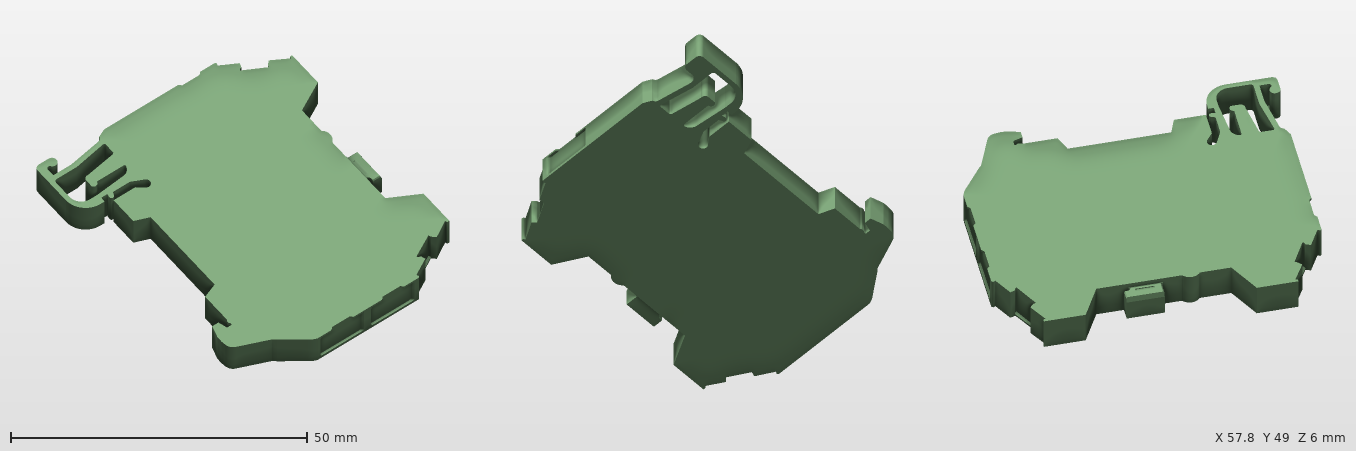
import cadquery as cq

THICKNESS = 6.0
HEIGHT = 49.05
HALF_WIDTH = 28.55
TROUGH_Y = 43.3
SHOULDER_Y = 37.65
RAIL_FACE_Y = 6.4
RAIL_RECESS_Y = 9.25
RAIL_HALF_TOP = 8.95
RAIL_HALF_MOUTH = 10.05
BUMP_LEFT = -6.25
BUMP_RIGHT = -3.2
BUMP_RISE = 0.75

FOOT_ROOT_Y = 12.0
HOOK_X = -29.25
HOOK_TOP_Y = 3.95
HOOK_CORNER = 0.9
HOOK_FLOOR = 0.9
HOOK_POCKET_LOW_Y = 1.5
STEM_OUTER_X = -25.95
STEM_ROOT_X = -27.1
STEM_FILLET = 1.4
STEM_INNER_X = -25.0
STEM_INNER_BEND_Y = 5.8
HEEL_X = -16.3
HEEL_RADIUS = 4.15
HEEL_INNER_X = -18.15
NECK_X = -17.3
NECK_LOW_Y = 5.1
WINDOW_LOW_Y = 0.9
WINDOW_TOP_Y = 12.5
WINDOW_CORNER = 0.6
TONGUE_RIGHT_X = -20.5
TONGUE_TIP_Y = 5.25
SLIT_LEFT_X = -17.05
SLIT_RIGHT_X = -15.6
SLIT_BEND_Y = 11.0
SLIT_SHOULDER = (-15.9, 13.35)

LABEL_DEPTH = 0.45
LABEL_BOTTOM_Z = 0.6
LABEL_TOP_Z = 5.6
LABEL_LOW_Y = 27.6
LABEL_LENGTH = 9.2
LABEL_CORNER = 0.35
NOTCH_OFFSET = 2.3
NOTCH_LENGTH = 4.6
NOTCH_TAPER = 0.45
LABEL_PITCH = 10.7

MARKER_FLOOR = 0.35

LATCH_LEFT = 0.45
LATCH_RIGHT = 7.05
LATCH_TOP_Y = 46.15
LATCH_STEP_Y = 44.25
LATCH_NECK_RIGHT = 5.9
LATCH_STEP_CHAMFER = 0.4
LATCH_BOTTOM_Z = 0.7
LATCH_TOP_Z = THICKNESS - LATCH_BOTTOM_Z
LATCH_SIDE_CHAMFER = 0.2
LATCH_END_CHAMFER = 0.4
LATCH_END_CHAMFER_DROP = 0.85
LATCH_FOOT_Y = 43.7
LATCH_FOOT_MARGIN = 0.25
LATCH_FOOT_DROP = 0.25
LATCH_SLOT_LEFT = 1.8
LATCH_SLOT_LENGTH = 3.4
LATCH_SLOT_LOW_Y = 44.05
LATCH_SLOT_WIDTH = 0.5
LATCH_SLOT_DEPTH = 0.2

SHOULDER = [
    (11.7, TROUGH_Y),
    (14.8, HEIGHT),
    (22.05, HEIGHT),
    (22.05, 48.6),
    (21.6, 48.45),
    (23.55, 45.2),
    (22.85, 44.55),
    (25.1, 40.65),
    (26.0, 40.95),
    (27.9, SHOULDER_Y),
    (28.3, 37.9),
    (HALF_WIDTH, SHOULDER_Y),
]
MARKER = [(22.85, 44.55), (22.4, 44.35), (24.75, 40.0), (25.05, 40.25), (25.15, 40.7)]


def mirrored(points, side):
    """Place (distance, Y) points on the left (-1) or right (+1) half."""
    return [(side * distance, y) for distance, y in points]


def make_plate():
    """Main plate with both towers, the rail recess and the fixed claw."""
    return (
        cq.Workplane("XY")
        .moveTo(BUMP_LEFT, TROUGH_Y)
        .polyline(mirrored(SHOULDER, -1), includeCurrent=True)
        .lineTo(-HALF_WIDTH, 14.15)
        .lineTo(-27.8, 12.6)
        .threePointArc((-27.4, 12.4), (STEM_ROOT_X, FOOT_ROOT_Y))
        .lineTo(SLIT_RIGHT_X, FOOT_ROOT_Y)
        .lineTo(SLIT_RIGHT_X, RAIL_FACE_Y)
        .lineTo(-RAIL_HALF_MOUTH, RAIL_FACE_Y)
        .lineTo(-RAIL_HALF_TOP, RAIL_RECESS_Y)
        .lineTo(RAIL_HALF_TOP, RAIL_RECESS_Y)
        .lineTo(RAIL_HALF_MOUTH, RAIL_FACE_Y)
        .lineTo(16.2, RAIL_FACE_Y)
        .lineTo(16.35, 6.25)
        .lineTo(16.95, 6.25)
        .lineTo(17.1, RAIL_FACE_Y)
        .lineTo(17.5, RAIL_FACE_Y)
        .lineTo(17.5, 5.45)
        .lineTo(15.8, 4.9)
        .lineTo(15.8, 3.6)
        .lineTo(18.2, 2.9)
        .lineTo(19.4, 2.9)
        .lineTo(20.3, 3.0)
        .threePointArc((21.15, 3.4), (21.7, 4.1))
        .lineTo(24.1, 10.0)
        .lineTo(24.65, 10.6)
        .lineTo(27.7, 14.7)
        .threePointArc((28.2, 15.45), (HALF_WIDTH, 16.3))
        .polyline(mirrored(SHOULDER[::-1], 1), includeCurrent=True)
        .lineTo(BUMP_RIGHT, TROUGH_Y)
        .threePointArc(((BUMP_LEFT + BUMP_RIGHT) / 2, TROUGH_Y + BUMP_RISE), (BUMP_LEFT, TROUGH_Y))
        .close()
        .extrude(THICKNESS)
    )


def make_foot():
    """Solid outline of the spring foot with its hook and snap nose."""
    return (
        cq.Workplane("XY")
        .moveTo(STEM_ROOT_X, FOOT_ROOT_Y)
        .lineTo(STEM_OUTER_X, HOOK_TOP_Y + STEM_FILLET)
        .tangentArcPoint((-STEM_FILLET, -STEM_FILLET))
        .lineTo(HOOK_X + HOOK_CORNER, HOOK_TOP_Y)
        .tangentArcPoint((-HOOK_CORNER, -HOOK_CORNER))
        .lineTo(HOOK_X, HOOK_CORNER)
        .tangentArcPoint((HOOK_CORNER, -HOOK_CORNER))
        .lineTo(HEEL_X - HEEL_RADIUS, 0)
        .tangentArcPoint((HEEL_RADIUS, HEEL_RADIUS))
        .lineTo(HEEL_X, NECK_LOW_Y)
        .lineTo(NECK_X, NECK_LOW_Y)
        .lineTo(NECK_X, 6.35)
        .lineTo(-16.6, 6.25)
        .threePointArc((-16.1, 6.7), (-16.4, 7.1))
        .lineTo(SLIT_LEFT_X, 7.4)
        .lineTo(SLIT_LEFT_X, SLIT_BEND_Y)
        .lineTo(*SLIT_SHOULDER)
        .close()
        .extrude(THICKNESS)
    )


def make_slit():
    """Bent slit between the foot and the plate, with a round end."""
    return (
        cq.Workplane("XY")
        .moveTo(SLIT_LEFT_X, SLIT_BEND_Y)
        .lineTo(*SLIT_SHOULDER)
        .threePointArc((-14.7, 13.65), (-14.4, 12.55))
        .lineTo(SLIT_RIGHT_X, SLIT_BEND_Y)
        .close()
        .extrude(THICKNESS)
    )


def make_window():
    """Opening inside the foot, wrapped around a hanging tongue."""
    return (
        cq.Workplane("XY")
        .moveTo(-26.15, 12.2)
        .threePointArc((-26.1, 12.4), (-25.9, WINDOW_TOP_Y))
        .lineTo(-23.7, WINDOW_TOP_Y)
        .lineTo(-23.5, 12.25)
        .lineTo(-22.5, 6.25)
        .threePointArc((-22.25, 5.5), (-21.6, TONGUE_TIP_Y))
        .lineTo(-20.1, TONGUE_TIP_Y)
        .threePointArc((-19.85, 6.0), (TONGUE_RIGHT_X, 6.55))
        .lineTo(TONGUE_RIGHT_X, 12.3)
        .threePointArc((-20.35, 12.45), (-20.1, WINDOW_TOP_Y))
        .threePointArc((-19.15, 11.85), (-18.75, 10.8))
        .lineTo(HEEL_INNER_X, 4.8)
        .lineTo(HEEL_INNER_X, 3.35)
        .threePointArc((-18.85, 1.7), (-20.6, WINDOW_LOW_Y))
        .lineTo(STEM_INNER_X + WINDOW_CORNER, WINDOW_LOW_Y)
        .tangentArcPoint((-WINDOW_CORNER, WINDOW_CORNER))
        .lineTo(STEM_INNER_X, STEM_INNER_BEND_Y)
        .close()
        .extrude(THICKNESS)
    )


def make_hook_pocket():
    """Space behind the hook tip, closed below by a thin floor."""
    return (
        cq.Workplane("XY")
        .workplane(offset=HOOK_FLOOR)
        .moveTo(STEM_OUTER_X, HOOK_TOP_Y + STEM_FILLET)
        .lineTo(STEM_OUTER_X, HOOK_POCKET_LOW_Y)
        .lineTo(-27.6, HOOK_POCKET_LOW_Y)
        .threePointArc((-27.95, 1.85), (-27.75, 2.3))
        .threePointArc((-27.4, 3.25), (-28.1, HOOK_TOP_Y))
        .lineTo(STEM_OUTER_X - STEM_FILLET, HOOK_TOP_Y + STEM_FILLET)
        .close()
        .extrude(THICKNESS - HOOK_FLOOR)
    )


def make_label_recess(side, low_y):
    """Rounded recess in a side face, with a thumb notch through the upper face."""
    face_x = side * HALF_WIDTH
    floor_x = face_x - side * LABEL_DEPTH
    high_y = low_y + LABEL_LENGTH
    recess = (
        cq.Workplane("XY")
        .workplane(offset=LABEL_BOTTOM_Z)
        .polyline([
            (face_x, low_y),
            (floor_x, low_y),
            (floor_x, high_y - NOTCH_TAPER),
            (face_x, high_y),
        ])
        .close()
        .extrude(LABEL_TOP_Z - LABEL_BOTTOM_Z)
        .edges("(not |Y) and (not |Z)")
        .fillet(LABEL_CORNER)
    )
    notch_low = low_y + NOTCH_OFFSET
    notch_high = notch_low + NOTCH_LENGTH
    notch = (
        cq.Workplane("XY")
        .workplane(offset=LABEL_TOP_Z)
        .polyline([
            (face_x, notch_low),
            (floor_x, notch_low + NOTCH_TAPER),
            (floor_x, notch_high - NOTCH_TAPER),
            (face_x, notch_high),
        ])
        .close()
        .extrude(THICKNESS - LABEL_TOP_Z)
    )
    return recess.union(notch)


def make_marker_strip(side):
    """Groove along a slanted shoulder, open at the upper face."""
    return (
        cq.Workplane("XY")
        .workplane(offset=MARKER_FLOOR)
        .polyline(mirrored(MARKER, side))
        .close()
        .extrude(THICKNESS - MARKER_FLOOR)
    )


def make_latch():
    """Small hooked tab on the upper edge, with a sloped slot in its top."""
    head = (
        cq.Workplane("XY")
        .workplane(offset=LATCH_BOTTOM_Z)
        .moveTo(LATCH_LEFT, LATCH_FOOT_Y)
        .lineTo(LATCH_LEFT, LATCH_TOP_Y)
        .lineTo(LATCH_RIGHT, LATCH_TOP_Y)
        .lineTo(LATCH_RIGHT, LATCH_STEP_Y)
        .lineTo(LATCH_NECK_RIGHT + LATCH_STEP_CHAMFER, LATCH_STEP_Y)
        .lineTo(LATCH_NECK_RIGHT, LATCH_STEP_Y - LATCH_STEP_CHAMFER)
        .lineTo(LATCH_NECK_RIGHT, LATCH_FOOT_Y)
        .close()
        .extrude(LATCH_TOP_Z - LATCH_BOTTOM_Z)
        .faces("<X or >X").edges(">Z").chamfer(LATCH_SIDE_CHAMFER)
    )
    end_chamfer = (
        cq.Workplane("YZ")
        .workplane(offset=LATCH_LEFT)
        .moveTo(LATCH_TOP_Y, LATCH_TOP_Z)
        .lineTo(LATCH_TOP_Y - LATCH_END_CHAMFER, LATCH_TOP_Z)
        .lineTo(LATCH_TOP_Y, LATCH_TOP_Z - LATCH_END_CHAMFER_DROP)
        .close()
        .extrude(LATCH_RIGHT - LATCH_LEFT)
    )
    foot = (
        cq.Workplane("YZ")
        .workplane(offset=LATCH_LEFT - LATCH_FOOT_MARGIN)
        .polyline([
            (TROUGH_Y, LATCH_BOTTOM_Z),
            (LATCH_FOOT_Y, LATCH_BOTTOM_Z),
            (LATCH_FOOT_Y, LATCH_TOP_Z),
            (TROUGH_Y, LATCH_TOP_Z - LATCH_FOOT_DROP),
        ])
        .close()
        .extrude(LATCH_NECK_RIGHT - LATCH_LEFT + 2 * LATCH_FOOT_MARGIN)
    )
    slot = (
        cq.Workplane("YZ")
        .workplane(offset=LATCH_SLOT_LEFT)
        .polyline([
            (LATCH_SLOT_LOW_Y, LATCH_TOP_Z),
            (LATCH_SLOT_LOW_Y, LATCH_TOP_Z - LATCH_SLOT_DEPTH),
            (LATCH_SLOT_LOW_Y + LATCH_SLOT_WIDTH, LATCH_TOP_Z),
        ])
        .close()
        .extrude(LATCH_SLOT_LENGTH)
    )
    return head.union(foot).cut(end_chamfer).cut(slot)


result = make_plate().union(make_foot())
result = result.cut(make_slit()).cut(make_window()).cut(make_hook_pocket())
for half in (-1, 1):
    result = result.cut(make_marker_strip(half))
for half, low_edge in ((-1, LABEL_LOW_Y), (1, LABEL_LOW_Y), (1, LABEL_LOW_Y - LABEL_PITCH)):
    result = result.cut(make_label_recess(half, low_edge))
result = result.union(make_latch())